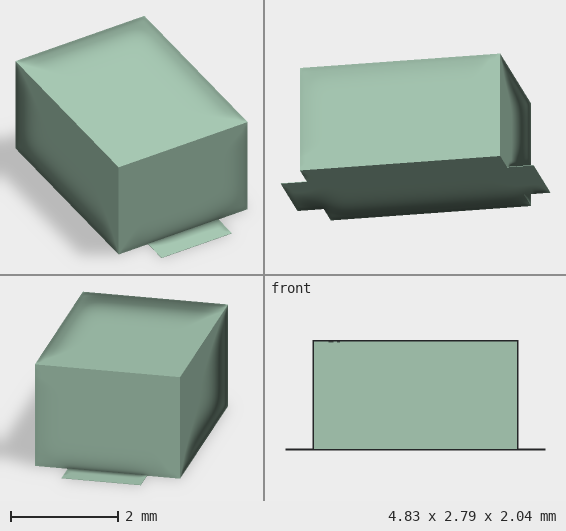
import cadquery as cq

overall_length = 4.83
overall_height = 2.04

housing_length = 3.825
housing_width = 2.79

terminal_width = 1.52
terminal_thickness = 0.01
terminal_length = (overall_length - housing_length) / 2
terminal_offset = (housing_length + terminal_length) / 2

dot_diameter = 0.195
dot_depth = 0.02
dot_x = -1.52


def make_dot():
    """Thin disc whose upper face is level with the housing top."""
    return (
        cq.Workplane("XY", origin=(dot_x, 0, overall_height - dot_depth))
        .circle(dot_diameter / 2)
        .extrude(dot_depth)
    )


def make_housing(dot):
    """Rectangular block with a recess that fits the dot."""
    block = cq.Workplane("XY").box(
        housing_length, housing_width, overall_height, centered=(True, True, False)
    )
    return block.cut(dot)


def make_terminal(side):
    """Flat strip that butts against the -X (side = -1) or +X (side = 1) end of the housing."""
    return (
        cq.Workplane("XY")
        .box(terminal_length, terminal_width, terminal_thickness, centered=(True, True, False))
        .translate((side * terminal_offset, 0, 0))
    )


dot = make_dot()
housing = make_housing(dot)
terminals = [make_terminal(side) for side in (-1, 1)]

result = cq.Compound.makeCompound(
    [housing.val(), dot.val(), *[terminal.val() for terminal in terminals]]
)